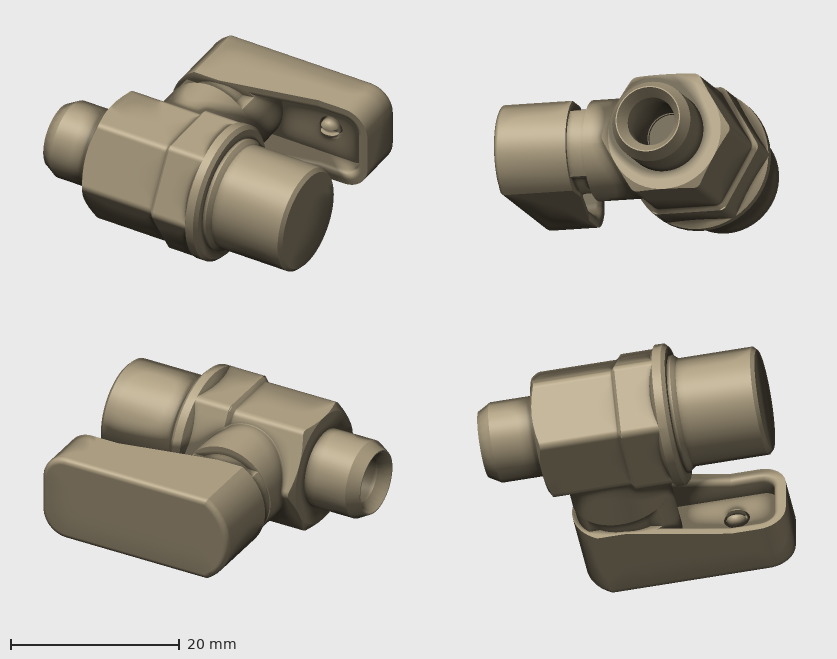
import cadquery as cq
import math


tolerance = 0.017

nipple_radius = 4.83
nipple_length = 7.05
nipple_chamfer_length = 1.5
nipple_chamfer_depth = 0.85
mouth_radius = 3.85
mouth_depth = 1.43
bore_radius = 2.9
throat_radius = 2.75
bore_end_x = 10.2
throat_length = 0.35

small_hex_flats = 13.95
large_hex_flats = 15.0
hex_corner_radius = 1.0
hex_step_x = 17.0
hex_overlap_x = 18.7
hex_step_height = (large_hex_flats - small_hex_flats) / 2
hex_end_angle = 30.0
blend_radius = 0.2

flange_radius = 8.5
flange_cone_x = 21.42
flange_rim_x = 22.05
flange_end_x = 23.55
flange_chamfer = 0.45
shoulder_radius = 6.97
shoulder_chamfer_x = 23.97
spigot_x = 24.55
spigot_radius = 6.5
spigot_chamfer = 0.45
valve_length = 34.0

stem_x = 14.5
boss_radius = 6.02
boss_top_y = 10.5

handle_end_radius = 6.43
handle_half_width = 5.47
handle_tip_x = 33.42
handle_corner_radius = 3.23
handle_bottom_y = 12.5
handle_tip_bottom_y = 15.0
handle_top_y = 21.5
slope_end_x = 26.72
handle_top_round = 0.68
handle_wall = 1.5
pocket_floor_y = 17.5
rim_round = 0.75

hub_radius = 5.9
stop_core_radius = 5.0
stop_ear_half_width = 4.0

screw_x = 27.0
screw_hole_radius = 1.55
screw_hole_depth = 1.35
screw_radius = 1.25
screw_head_rise = 1.1
screw_tip_round = 0.95
screw_slot_width = 0.8
screw_slot_depth = 1.1


def y_plane(x, y):
    """Work plane facing -Y: local x is X, local y is Z, and a negative extrusion runs towards +Y."""
    return cq.Workplane("XZ", origin=(x, y, 0))


def turned(points):
    """Solid of revolution about the flow axis, from (x, radius) points."""
    return cq.Workplane("XY").polyline(points).close().revolve(360, (0, 0, 0), (1, 0, 0))


def hex_bar(across_flats, start_x, end_x):
    """Sharp hexagonal bar along X with two corners on the Y axis."""
    across_corners = across_flats / math.cos(math.pi / 6)
    return cq.Workplane("YZ", origin=(start_x, 0, 0)).polygon(6, across_corners).extrude(end_x - start_x)


def make_hexagons():
    """Small hexagon stepping up to the large one over a sloped shoulder, with every long corner rounded."""
    small_hex = hex_bar(small_hex_flats, nipple_length, hex_overlap_x)
    large_hex = hex_bar(large_hex_flats, hex_step_x, flange_rim_x)
    large_hex = large_hex.faces("<X").chamfer(hex_step_height)
    hexagons = small_hex.union(large_hex)
    step_size = large_hex_flats
    foot_of_step = cq.selectors.BoxSelector(
        (hex_step_x - tolerance, -step_size, -step_size),
        (hex_step_x + tolerance, step_size, step_size),
    )
    hexagons = hexagons.edges(foot_of_step).fillet(blend_radius)
    return hexagons.edges("not #X").fillet(hex_corner_radius)


def make_hex_envelope():
    """Body of revolution that trims the corners of the small hexagon to a cone at the front."""
    end_radius = small_hex_flats / 2
    envelope_radius = large_hex_flats
    cone_length = (envelope_radius - end_radius) * math.tan(math.radians(hex_end_angle))
    return turned([
        (nipple_length, 0),
        (nipple_length, end_radius),
        (nipple_length + cone_length, envelope_radius),
        (flange_rim_x, envelope_radius),
        (flange_rim_x, 0),
    ])


def is_boss_foot(edge):
    """True for an edge on the boss cylinder where it meets the hexagons, below the boss top."""
    points = [edge.startPoint(), edge.positionAt(0.5), edge.endPoint()]
    on_cylinder = all(abs(math.hypot(p.x - stem_x, p.z) - boss_radius) < tolerance for p in points)
    return on_cylinder and all(p.y < flange_radius + 0.35 for p in points)


def make_hexagons_with_boss():
    """Hexagons with the stem boss blended into them."""
    boss = y_plane(stem_x, 0).circle(boss_radius).extrude(-boss_top_y)
    body = make_hexagons().union(boss)
    foot_edges = [edge for edge in body.edges().vals() if is_boss_foot(edge)]
    body = body.newObject(foot_edges).fillet(blend_radius)
    lower = body.intersect(make_hex_envelope())
    return lower.union(boss)


def make_nipple():
    return turned([
        (0, 0),
        (0, nipple_radius - nipple_chamfer_depth),
        (nipple_chamfer_length, nipple_radius),
        (nipple_length + 0.35, nipple_radius),
        (nipple_length + 0.35, 0),
    ])


def make_outlet():
    """Flange with a conical back, then the shoulder and the outlet spigot."""
    return turned([
        (flange_cone_x, 0),
        (flange_cone_x, large_hex_flats / 2),
        (flange_rim_x, flange_radius),
        (flange_end_x - flange_chamfer, flange_radius),
        (flange_end_x, flange_radius - flange_chamfer),
        (flange_end_x, shoulder_radius),
        (shoulder_chamfer_x, shoulder_radius),
        (spigot_x, spigot_radius),
        (valve_length - spigot_chamfer, spigot_radius),
        (valve_length, spigot_radius - spigot_chamfer),
        (valve_length, 0),
    ])


def make_inlet_bore():
    """Flared mouth, straight bore and a slightly narrower blind end."""
    return turned([
        (0, 0),
        (0, mouth_radius),
        (mouth_depth, bore_radius),
        (bore_end_x - throat_length, bore_radius),
        (bore_end_x - throat_length, throat_radius),
        (bore_end_x, throat_radius),
        (bore_end_x, 0),
    ])


def make_housing():
    body = make_hexagons_with_boss()
    return body.union(make_nipple()).union(make_outlet()).cut(make_inlet_bore())


def make_handle_blank():
    """Lever outline with an arc round the stem, a sloped underside and a rounded top edge."""
    arc_end_x = stem_x - math.sqrt(handle_end_radius**2 - handle_half_width**2)
    blank = (
        y_plane(0, handle_bottom_y)
        .moveTo(arc_end_x, handle_half_width)
        .threePointArc((stem_x - handle_end_radius, 0), (arc_end_x, -handle_half_width))
        .lineTo(handle_tip_x, -handle_half_width)
        .lineTo(handle_tip_x, handle_half_width)
        .close()
        .extrude(handle_bottom_y - handle_top_y)
    )
    blank = blank.edges("|Y and >X").fillet(handle_corner_radius)
    blank = blank.faces(">Y").edges().fillet(handle_top_round)
    relief = (
        cq.Workplane("XY")
        .moveTo(stem_x, handle_bottom_y)
        .lineTo(slope_end_x, handle_tip_bottom_y)
        .lineTo(handle_tip_x, handle_tip_bottom_y)
        .lineTo(handle_tip_x, handle_bottom_y)
        .close()
        .extrude(handle_half_width, both=True)
    )
    return blank.cut(relief)


def make_pocket():
    """Underside pocket from the stem axis to the tip wall."""
    pocket_end_x = handle_tip_x - handle_wall
    half_width = handle_half_width - handle_wall
    pocket = (
        y_plane((stem_x + pocket_end_x) / 2, handle_bottom_y)
        .rect(pocket_end_x - stem_x, 2 * half_width)
        .extrude(handle_bottom_y - pocket_floor_y)
    )
    return pocket.edges("|Y and >X").fillet(handle_corner_radius - handle_wall)


def make_stop():
    """Round core with two ears flush with the hub, reaching from the boss to the pocket floor."""
    height = pocket_floor_y - boss_top_y
    core = y_plane(stem_x, boss_top_y).circle(stop_core_radius).extrude(-height)
    disc = y_plane(stem_x, boss_top_y).circle(hub_radius).extrude(-height)
    ears = y_plane(stem_x, boss_top_y).rect(2 * hub_radius, 2 * stop_ear_half_width).extrude(-height)
    return core.union(disc.intersect(ears))


def make_handle():
    blank = make_handle_blank()
    hub_height = pocket_floor_y - handle_bottom_y
    hub = blank.intersect(y_plane(stem_x, handle_bottom_y).circle(hub_radius).extrude(-hub_height))
    shell = blank.cut(make_pocket())
    half_width = handle_half_width - handle_wall
    rim_box = cq.selectors.BoxSelector(
        (stem_x + 0.35, handle_bottom_y - 0.35, -half_width - 0.05),
        (handle_tip_x - handle_wall + 0.05, handle_tip_bottom_y + 0.05, half_width + 0.05),
    )
    shell = shell.edges(rim_box).fillet(rim_round)
    screw_hole = y_plane(screw_x, pocket_floor_y).circle(screw_hole_radius).extrude(-screw_hole_depth)
    return shell.union(hub).union(make_stop()).cut(screw_hole)


def make_screw():
    """Rounded head with a straight slot, standing on the bottom of its hole."""
    base_y = pocket_floor_y + screw_hole_depth
    tip_y = pocket_floor_y - screw_head_rise
    shank = y_plane(screw_x, tip_y).circle(screw_radius).extrude(tip_y - base_y)
    screw = shank.faces("<Y").edges().fillet(screw_tip_round)
    slot = y_plane(screw_x, tip_y).rect(4 * screw_radius, screw_slot_width).extrude(-screw_slot_depth)
    return screw.cut(slot)


housing = make_housing()
handle = make_handle()
screw = make_screw()

result = cq.Compound.makeCompound([housing.val(), handle.val(), screw.val()])